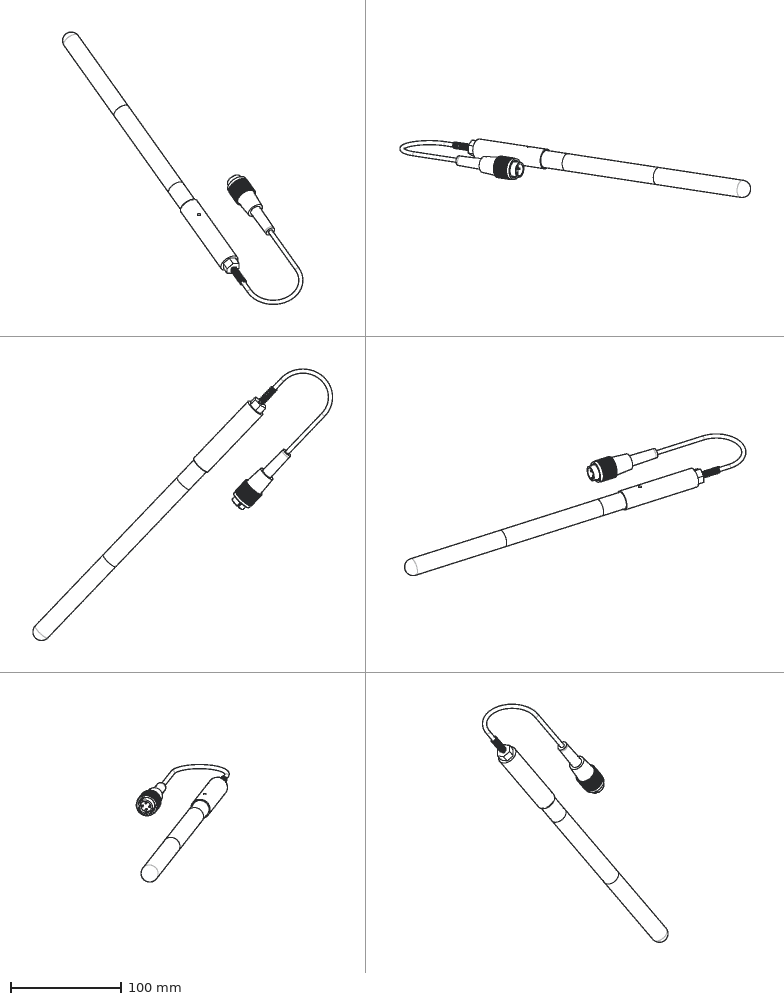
import cadquery as cq
import math

overall_length = 361.2
overall_width = 69.0

rod_diameter = 16.0
section_length = 100.0
rod_length = 223.5

handle_diameter = 18.0
handle_end = 297.5
screw_hole_diameter = 2.45
screw_hole_depth = 3.0
screw_hole_offset = 18.5

nut_across_flats = 12.5
nut_length = 7.0
spring_diameter = 6.0
spring_wire_diameter = 1.0
spring_pitch = 2.0
spring_turns = 9.5

cable_diameter = 4.0
cable_insertion = 7.2

nose_start = 218.2
nose_diameter = 13.7
nose_bore_diameter = 11.0
nose_bore_depth = 5.0
pin_diameter = 1.48
pin_circle_diameter = 7.0
pin_count = 4
pin_setback = 2.0
key_width = 1.5

ring_start = 223.2
ring_end = 240.2
ring_diameter = 20.0
ring_front_diameter = 19.0
ring_bore_diameter = 16.0
ring_recess_depth = 3.0
ring_plain_length = 3.0
knurl_count = 60
knurl_groove_width = 0.8
knurl_depth = 0.55

shell_end = 257.5
shell_front_diameter = 17.5
shell_rear_diameter = 14.8
boot_end = 285.0
boot_front_diameter = 10.0
boot_rear_diameter = 9.0
boot_collar_length = 1.8

plug_y = overall_width - (handle_diameter + ring_diameter) / 2
bend_radius = plug_y / 2
bend_x = overall_length - bend_radius - cable_diameter / 2
nut_end = handle_end + nut_length


def section_plane(x, y=0.0):
    """YZ plane at x whose normal is +X."""
    return cq.Workplane("YZ", origin=(x, y, 0))


def cylinder(x_start, x_end, diameter, y=0.0):
    return section_plane(x_start, y).circle(diameter / 2).extrude(x_end - x_start)


def make_tip_section():
    """Front rod section with a hemispherical end."""
    radius = rod_diameter / 2
    return (
        cq.Workplane("XY")
        .moveTo(0, 0)
        .radiusArc((radius, radius), radius)
        .lineTo(section_length, radius)
        .lineTo(section_length, 0)
        .close()
        .revolve(360, (0, 0, 0), (1, 0, 0))
    )


def make_rod_section(x_start, x_end):
    return cylinder(x_start, x_end, rod_diameter)


def make_handle():
    """Plain grip with a small blind screw hole on top."""
    screw_hole = (
        cq.Workplane("XY", origin=(rod_length + screw_hole_offset, 0, handle_diameter / 2))
        .circle(screw_hole_diameter / 2)
        .extrude(-screw_hole_depth)
    )
    return cylinder(rod_length, handle_end, handle_diameter).cut(screw_hole)


def make_gland_nut():
    """Hexagonal nut with corners up and down, bored for the cable."""
    across_corners = nut_across_flats / math.cos(math.pi / 6)
    return (
        section_plane(handle_end)
        .transformed(rotate=(0, 0, 90))
        .polygon(6, across_corners)
        .circle(cable_diameter / 2)
        .extrude(nut_length)
    )


def make_spring():
    """Wire coiled around the cable, starting against the nut."""
    coil_radius = (spring_diameter - spring_wire_diameter) / 2
    coil_start = nut_end + spring_wire_diameter / 2
    helix = cq.Wire.makeHelix(spring_pitch, spring_pitch * spring_turns, coil_radius)
    coil = (
        cq.Workplane("XZ", origin=(coil_radius, 0, 0))
        .circle(spring_wire_diameter / 2)
        .sweep(cq.Workplane(helix), isFrenet=True)
    )
    return coil.rotate((0, 0, 0), (0, 1, 0), 90).translate((coil_start, 0, 0))


def make_cable():
    """Cable from the nut, around a half-circle bend and back into the boot."""
    path = (
        cq.Workplane("XY")
        .moveTo(handle_end, 0)
        .lineTo(bend_x, 0)
        .threePointArc((bend_x + bend_radius, bend_radius), (bend_x, plug_y))
        .lineTo(boot_end - cable_insertion, plug_y)
    )
    return section_plane(handle_end).circle(cable_diameter / 2).sweep(path)


def make_plug_nose():
    """Plug front: a sleeve with a key slot below and contact pins on the floor of its bore."""
    bore_floor = nose_start + nose_bore_depth
    pin_start = nose_start + pin_setback
    nose = cylinder(nose_start, ring_start + ring_recess_depth, nose_diameter, plug_y)
    nose = nose.cut(cylinder(nose_start, bore_floor, nose_bore_diameter, plug_y))
    pins = (
        section_plane(pin_start, plug_y)
        .polarArray(pin_circle_diameter / 2, 0, 360, pin_count)
        .circle(pin_diameter / 2)
        .extrude(bore_floor - pin_start)
    )
    key_slot = (
        section_plane(nose_start, plug_y)
        .center(0, -nose_diameter / 2)
        .rect(key_width, nose_diameter - nose_bore_diameter)
        .extrude(nose_bore_depth)
    )
    return nose.cut(key_slot).union(pins)


def make_coupling_ring():
    """Ring with a plain front band, a knurled grip and a recess around the nose."""
    knurl_start = ring_start + ring_plain_length
    radius = ring_diameter / 2
    outer_radius = radius + knurl_depth
    cutter_points = [
        (outer_radius, -knurl_groove_width),
        (radius - knurl_depth, 0),
        (outer_radius, knurl_groove_width),
    ]
    groove = (
        section_plane(knurl_start)
        .polyline(cutter_points)
        .close()
        .extrude(ring_end - knurl_start)
    )
    front_band = cylinder(ring_start, knurl_start, ring_front_diameter)
    grip = cylinder(knurl_start, ring_end, ring_diameter)
    grooves = [
        groove.rotate((0, 0, 0), (1, 0, 0), 360 / knurl_count * index).val()
        for index in range(knurl_count)
    ]
    grip = grip.cut(cq.Workplane(cq.Compound.makeCompound(grooves)))
    recess = cylinder(ring_start, ring_start + ring_recess_depth, ring_bore_diameter)
    return front_band.union(grip).cut(recess).translate((0, plug_y, 0))


def make_plug_shell():
    """Tapered shell and cable boot in one piece, with a blind hole for the cable."""
    shell_rear_radius = shell_rear_diameter / 2
    boot_rear_radius = boot_rear_diameter / 2
    profile = [
        (ring_end, 0),
        (ring_end, shell_front_diameter / 2),
        (shell_end, shell_rear_radius),
        (shell_end, boot_front_diameter / 2),
        (boot_end - boot_collar_length, boot_rear_radius),
        (boot_end, boot_rear_radius),
        (boot_end, 0),
    ]
    shell = cq.Workplane("XY").polyline(profile).close().revolve(360, (0, 0, 0), (1, 0, 0))
    cable_hole = cylinder(boot_end - cable_insertion, boot_end, cable_diameter)
    return shell.cut(cable_hole).translate((0, plug_y, 0))


tip_section = make_tip_section()
middle_section = make_rod_section(section_length, 2 * section_length)
rear_section = make_rod_section(2 * section_length, rod_length)
handle = make_handle()
gland_nut = make_gland_nut()
spring = make_spring()
cable = make_cable()
plug_nose = make_plug_nose()
coupling_ring = make_coupling_ring()
plug_shell = make_plug_shell()

result = cq.Compound.makeCompound([
    tip_section.val(),
    middle_section.val(),
    rear_section.val(),
    handle.val(),
    gland_nut.val(),
    spring.val(),
    cable.val(),
    plug_nose.val(),
    coupling_ring.val(),
    plug_shell.val(),
])